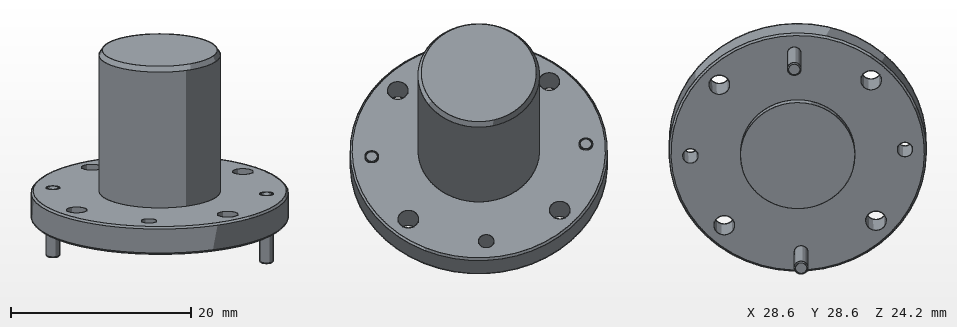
import cadquery as cq
import math

flange_diameter = 28.57
flange_thickness = 3.23
flange_chamfer = 0.23

post_diameter = 13.5
post_height = 16.28
post_chamfer_width = 0.37
post_chamfer_height = 0.57
spigot_diameter = 12.7
spigot_height = 0.83

pitch_radius = 11.9
bolt_hole_diameter = 2.29
bolt_angles = [0, 90, 180, 270]
open_hole_diameter = 1.7
open_hole_angles = [135, 315]
pin_diameter = 1.55
pin_projection = 4.69
pin_chamfer = 0.15
pin_angles = [45, 225]


def pitch_points(angles):
    """Points on the pitch circle at the given angles in degrees."""
    return [
        (pitch_radius * math.cos(math.radians(a)), pitch_radius * math.sin(math.radians(a)))
        for a in angles
    ]


def cut_through_flange(body, angles, diameter):
    """Drill round holes through the flange, whose underside is at Z = 0."""
    cutter = cq.Workplane("XY").pushPoints(pitch_points(angles)).circle(diameter / 2)
    return body.cut(cutter.extrude(flange_thickness))


def make_housing():
    """Flange with post and spigot, drilled for bolts and dowel pins."""
    flange = cq.Workplane("XY").circle(flange_diameter / 2).extrude(flange_thickness)
    flange = flange.faces("<Z or >Z").edges().chamfer(flange_chamfer)

    post_radius = post_diameter / 2
    post_top = flange_thickness + post_height
    post_profile = [
        (0, 0),
        (post_radius, 0),
        (post_radius, post_top - post_chamfer_height),
        (post_radius - post_chamfer_width, post_top),
        (0, post_top),
    ]
    post = cq.Workplane("XZ").polyline(post_profile).close().revolve(360, (0, 0), (0, 1))
    spigot = cq.Workplane("XY").circle(spigot_diameter / 2).extrude(-spigot_height)

    body = flange.union(post).union(spigot)
    body = cut_through_flange(body, bolt_angles, bolt_hole_diameter)
    body = cut_through_flange(body, open_hole_angles, open_hole_diameter)
    return cut_through_flange(body, pin_angles, pin_diameter)


def make_pin(x, y):
    """Dowel pin, flush with the flange top and chamfered at both ends."""
    pin = cq.Workplane("XY", origin=(x, y, -pin_projection)).circle(pin_diameter / 2)
    pin = pin.extrude(pin_projection + flange_thickness)
    return pin.faces("<Z or >Z").edges().chamfer(pin_chamfer)


housing = make_housing()
pins = [make_pin(x, y) for x, y in pitch_points(pin_angles)]

result = cq.Compound.makeCompound([housing.val(), *[pin.val() for pin in pins]])